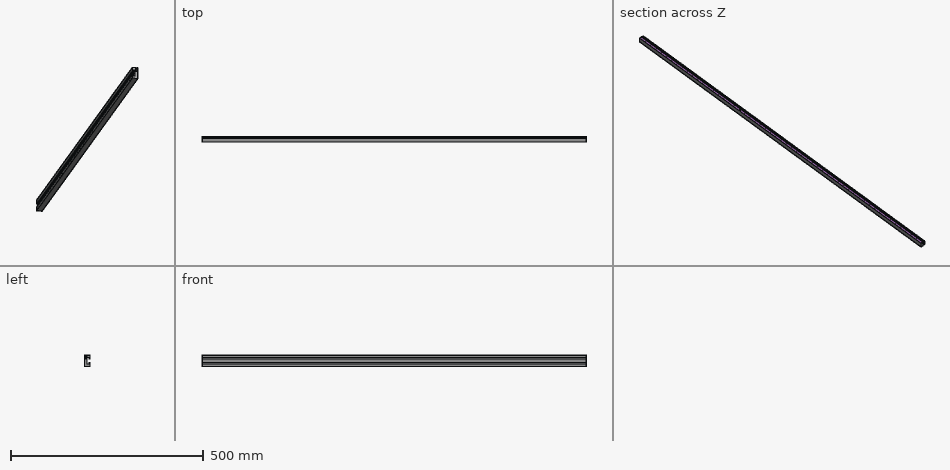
import cadquery as cq

LENGTH = 1000.0
DEPTH = 15.0
HEIGHT = 30.0

SLOT_HEIGHT = 8.2
LIP_THICKNESS = 2.5
CAVITY_HEIGHT = 16.5
CAVITY_FLOOR = 7.6

GROOVE_WIDTH = 3.1
GROOVE_DEPTH = 10.0
GROOVE_BACK_WALL = 2.9

FRONT_Y = -DEPTH / 2
BACK_Y = DEPTH / 2
TOP_Z = HEIGHT / 2


def bar(y_start, y_end, z_start, z_end):
    """Full-length rectangular bar, centred on X = 0."""
    return cq.Workplane("XY").box(
        LENGTH, y_end - y_start, z_end - z_start, centered=(True, False, False)
    ).translate((0, y_start, z_start))


def make_channel_cut():
    """T-shaped channel: the slot between the lips and the wider cavity behind them."""
    floor_y = FRONT_Y + CAVITY_FLOOR
    slot = bar(FRONT_Y, floor_y, -SLOT_HEIGHT / 2, SLOT_HEIGHT / 2)
    cavity = bar(FRONT_Y + LIP_THICKNESS, floor_y, -CAVITY_HEIGHT / 2, CAVITY_HEIGHT / 2)
    return slot.union(cavity)


def make_groove_cut():
    """Groove open at the top face, with a thin wall on each side."""
    groove_back_y = BACK_Y - GROOVE_BACK_WALL
    return bar(groove_back_y - GROOVE_WIDTH, groove_back_y, TOP_Z - GROOVE_DEPTH, TOP_Z)


body = bar(FRONT_Y, BACK_Y, -TOP_Z, TOP_Z)
result = body.cut(make_channel_cut()).cut(make_groove_cut())